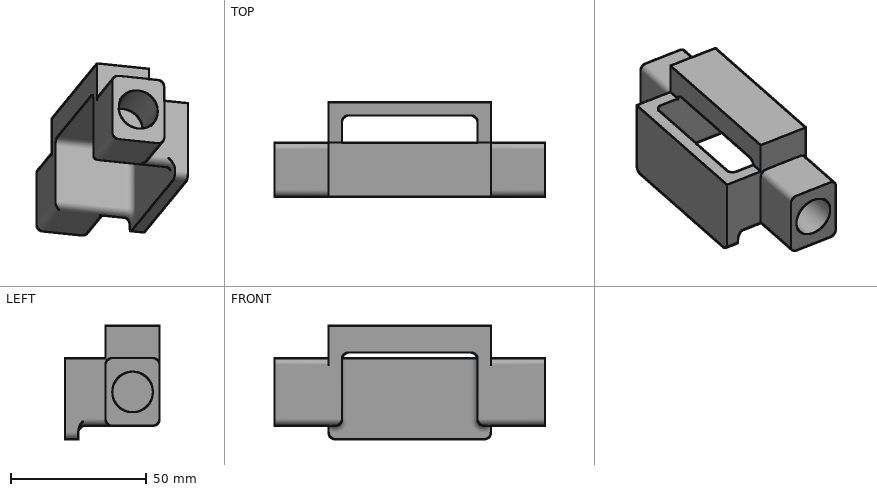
import cadquery as cq
import math

length = 100.0
body_length = 60.0
arm_depth = 20.0
total_depth = 35.0
plate_thickness = 5.0
leg_thickness = 5.0
arm_bottom = 5.0
arm_height = 25.0
bridge_top = 42.0
bridge_thickness = 10.0
bore_diameter = 15.0
bore_depth = 20.0
radius = leg_thickness / 2

half_body = body_length / 2
leg_inner = half_body - leg_thickness
leg_center = half_body - radius
arm_top = arm_bottom + arm_height
plate_front = total_depth - plate_thickness
leg_front = arm_depth - radius
round_center_z = arm_bottom + radius
bridge_bottom = bridge_top - bridge_thickness


def block(x_range, y_range, z_range):
    """Box between the given limits on each axis."""
    limits = (x_range, y_range, z_range)
    sizes = [high - low for low, high in limits]
    corner = tuple(low for low, high in limits)
    return cq.Workplane("XY").box(*sizes, centered=False).translate(corner)


def make_plate():
    plate = block((-half_body, half_body), (plate_front, total_depth), (0, arm_top))
    return plate.edges("|Y and <Z").fillet(radius)


def make_bridge():
    """Top bar with two short legs, rounded at the inside corners."""
    bridge = block((-half_body, half_body), (0, arm_depth), (round_center_z, bridge_top))
    opening = block((-leg_inner, leg_inner), (0, arm_depth), (round_center_z, bridge_bottom))
    return bridge.cut(opening.edges("|Y and >Z").fillet(radius))


def make_leg():
    """Leg joining the right arm to the plate, with a rounded underside."""
    upright = block((leg_inner, half_body), (leg_front, plate_front), (round_center_z, arm_top))
    underside = (
        cq.Workplane("XZ", origin=(leg_center, leg_front, round_center_z))
        .circle(radius)
        .extrude(leg_front - plate_front)
    )
    return upright.union(underside)


def make_arm():
    """Right arm with rounded long edges, rounded inner lower edge and a blind bore."""
    arm = block((leg_inner, length / 2), (0, arm_depth), (arm_bottom, arm_top))
    inner_round = arm.edges("|Y and <X and <Z").fillet(radius)
    arm = arm.edges("|X").fillet(radius).intersect(inner_round)
    bore = (
        cq.Workplane("YZ", origin=(length / 2, arm_depth / 2, arm_bottom + arm_height / 2))
        .circle(bore_diameter / 2)
        .extrude(-bore_depth)
    )
    return arm.cut(bore)


def flare_profile(origin, x_sign):
    """Concave fillet section between a leg face and the plate, drawn outward from the leg."""
    diagonal = radius * (1 - math.sqrt(0.5))
    return (
        cq.Workplane("XY", origin=origin)
        .moveTo(0, 0)
        .lineTo(x_sign * radius, 0)
        .threePointArc((x_sign * diagonal, -diagonal), (0, -radius))
        .close()
    )


def make_flare():
    """Fillet joining the right leg to the plate along its inner face and around its underside."""
    straight = flare_profile((leg_inner, plate_front, round_center_z), -1).extrude(
        arm_top - round_center_z
    )
    ring = flare_profile((half_body, plate_front, round_center_z), 1).revolve(
        360, (-radius, 0, 0), (-radius, 1, 0)
    )
    lower_half = block((0, half_body), (0, total_depth), (0, round_center_z))
    return straight.union(ring.intersect(lower_half))


result = make_plate().union(make_bridge())
right_side = make_arm().union(make_leg()).union(make_flare())
result = result.union(right_side).union(right_side.mirror("YZ"))